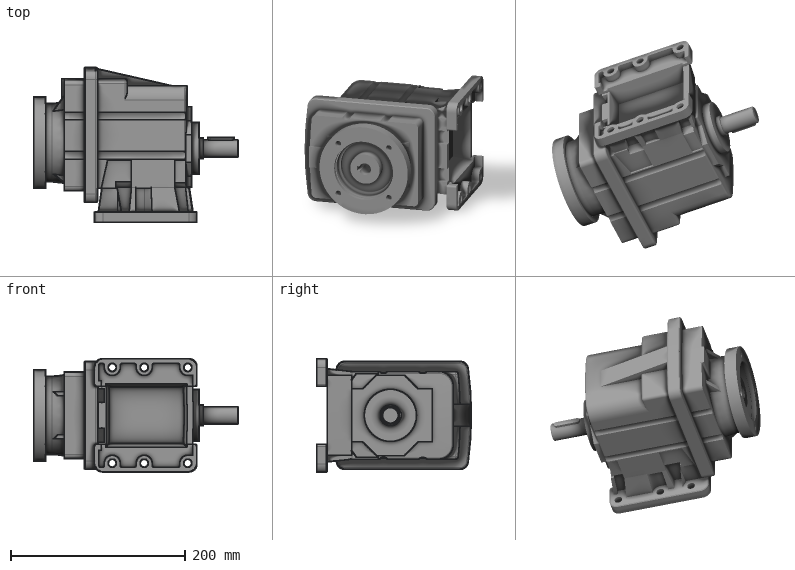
import cadquery as cq
import math

JOIN = 1.2

FLANGE_D, FLANGE_T = 105.0, 13.9
NECK_D, NECK_END = 90.0, 21.0
CONE_END_D = 93.0
PILOT_D, PILOT_DEPTH = 70.0, 5.2
BORE_D, BORE_DEPTH = 68.0, 14
WELL_D, WELL_DEPTH = 62.0, 18.8
HUB_D, HUB_FACE = 35.0, 5.9
INPUT_BORE_D, INPUT_BORE_END = 14, 30.5
INPUT_KEY_W, INPUT_KEY_TOP = 5.6, 9.6
BOLT_D, BOLT_OFFSET = 6.5, 30.0
RIB_Z, RIB_T, RIB_START = 24.7, 5.0, 21.6
RIB_FOOT_Y, RIB_TOP_Y, RIB_LOW_Y = 35.2, 54, 45.8

COVER_START, JOINT_START, JOINT_END = 35.0, 58.3, 73.3
COVER_HALF_Z, COVER_LOW, COVER_SIDE, COVER_CROWN = 49.8, -55.2, 71.0, 73.5
COVER_R = 5.2
JOINT_HALF_Z, JOINT_LOW, JOINT_SIDE, JOINT_CROWN = 62.0, -68.6, 81.5, 86.5
JOINT_R, JOINT_CHAMFER, JOINT_ROUND = 9.9, 1.0, 2.4
BOSS_START, BOSS_LOW, BOSS_HALF_Z = 32.2, 40, 12.5

HOUSING_END, HOUSING_HALF_Z, HOUSING_LOW = 174.4, 50.3, -52.5
END_BOW, END_ROUND = 2.4, 1.9
HOUSING_TOP, HOUSING_R = 65.5, 16.5
SHOULDER_END, SHOULDER_R = 107.6, 3.3
SPINE_TOP, SPINE_END = 84.8, 158.2
GROOVE_YS = (30.5, -14.5)
GROOVE_W, GROOVE_DEPTH = 9.0, 2.0
RECESS_DEPTH, RECESS_TOP, RAMP_DROP = 2.4, -20.5, 9.5
MID_RECESS_TOP_X, MID_RECESS_LOW_X, MID_RECESS_END = 84.8, 77.5, 112.3
MID_SLOPE_X, MID_SLOPE_Y = 94, -44.6
END_RECESS_X, END_SLOPE_Y = 162.0, -45.8

OUTPUT_Y = -6.5
PLATE_END, PLATE_HALF_Z = 181.5, 46.3
PLATE_FLAT, PLATE_STEP, PLATE_STEP_Z = 16.0, 32.0, 30.3
PLATE_TOP, PLATE_LOW = 41.4, -51.0
BEARING_D, BEARING_END = 60.0, 190.0
COLLAR_D, COLLAR_END = 24.0, 194.8
SHAFT_D, SHAFT_END, SHAFT_CHAMFER = 20.0, 235, 1.0
KEY_START, KEY_END, KEY_W, KEY_R, KEY_HEIGHT = 199.8, 230.0, 6.0, 2.8, 12.7

FOOT_START, FOOT_END, FOOT_HALF_Z = 69.8, 187.5, 65.0
FOOT_TOP, FOOT_BOTTOM = -79.2, -91.5
FOOT_INNER_Z = 33.1
FOOT_R, FOOT_INNER_R, FOOT_CHAMFER = 9.6, 2.4, 1.0
POCKET_FLOOR = -82.7
POCKET_START, POCKET_END, POCKET_Z = 74.7, 182.5, 59.7
LIP_END, LIP_Z = 77.5, 40
POCKET_R = 2.5
HOLE_XS, HOLE_Z, HOLE_D = (90.2, 127, 177.0), 55.0, 9.0
PAD_R = 9.2
WALL_BOW = 1.0
PEDESTAL_TOP = (78.3, 178.0, 50.3)
PEDESTAL_BOTTOM = (74.3, 182.1, 53.5)
CAVITY_FLOOR_Y = -59.2
CAVITY_FLOOR = (87, 171.8, 32.2)
CAVITY_MOUTH = (82.5, 176.0, 36.5)
SCREW_BAY_Z, BOLT_BAY_Z = 45.8, 41.0
SCREW_BAYS = ((FOOT_START, 96.4), (117.3, HOLE_XS[1]), (171.5, FOOT_END))
BOLT_BAYS = (
    (95.6, MID_RECESS_END, 100.8, 109.7),
    (END_RECESS_X, HOUSING_END, 167.3, 177.5),
)
NOTCH_DEPTH_X, NOTCH_Z0, NOTCH_Z1 = 81.0, 14.8, 30.8


def disc(diameter, start, end, y=0):
    """Cylinder along X."""
    return cq.Workplane("YZ", origin=(start, y, 0)).circle(diameter / 2).extrude(end - start)


def block(x0, x1, y0, y1, z0, z1):
    return cq.Workplane("XY").box(x1 - x0, y1 - y0, z1 - z0, centered=False).translate((x0, y0, z0))


def both_sides(solid):
    """The solid together with its mirror image across the XY plane."""
    return solid.union(solid.mirror("XY"))


def crowned_plate(start, end, half_z, low, side, crown, corner_r):
    """Rounded rectangle along X whose +Y side bows outward."""
    return (
        cq.Workplane("YZ", origin=(start, 0, 0))
        .moveTo(side, -half_z)
        .threePointArc((crown, 0), (side, half_z))
        .lineTo(low, half_z)
        .lineTo(low, -half_z)
        .close()
        .extrude(end - start)
        .edges("|X")
        .fillet(corner_r)
    )


def tapered_block(y0, rect0, y1, rect1):
    """Loft along Y between two (x start, x end, half width) rectangles with a bowed +X side."""
    def wire(y, rect):
        x0, x1, half_z = rect
        return (
            cq.Workplane("XZ", origin=(0, y, 0))
            .moveTo(x1, half_z)
            .lineTo(x0, half_z)
            .lineTo(x0, -half_z)
            .lineTo(x1, -half_z)
            .threePointArc((x1 + WALL_BOW, 0), (x1, half_z))
            .close()
            .val()
        )
    return cq.Workplane(obj=cq.Solid.makeLoft([wire(y0, rect0), wire(y1, rect1)], True))


def neck():
    flange = disc(FLANGE_D, 0, FLANGE_T).union(disc(NECK_D, 0, NECK_END))
    cone = (
        cq.Workplane("XY")
        .moveTo(NECK_END, 0)
        .lineTo(NECK_END, NECK_D / 2)
        .lineTo(COVER_START, CONE_END_D / 2)
        .lineTo(COVER_START, 0)
        .close()
        .revolve(360, (0, 0, 0), (1, 0, 0))
    )
    ribs = None
    for outer_y in (RIB_TOP_Y, -RIB_LOW_Y):
        foot_y = math.copysign(RIB_FOOT_Y, outer_y)
        rib = (
            cq.Workplane("XY", origin=(0, 0, RIB_Z - RIB_T / 2))
            .polyline([(RIB_START, foot_y), (COVER_START, outer_y), (COVER_START, foot_y)])
            .close()
            .extrude(RIB_T)
        )
        ribs = rib if ribs is None else ribs.union(rib)
    boss = block(BOSS_START, COVER_START + JOIN, BOSS_LOW, COVER_CROWN, -BOSS_HALF_Z, BOSS_HALF_Z)
    return flange.union(cone).union(both_sides(ribs)).union(boss)


def cut_motor_socket(body):
    body = body.cut(disc(PILOT_D, 0, PILOT_DEPTH))
    body = body.cut(disc(BORE_D, 0, BORE_DEPTH))
    body = body.cut(disc(WELL_D, 0, WELL_DEPTH))
    body = body.union(disc(HUB_D, HUB_FACE, WELL_DEPTH + JOIN))
    body = body.cut(disc(INPUT_BORE_D, 0, INPUT_BORE_END))
    body = body.cut(block(0, INPUT_BORE_END, 0, INPUT_KEY_TOP, -INPUT_KEY_W / 2, INPUT_KEY_W / 2))
    for y in (-BOLT_OFFSET, BOLT_OFFSET):
        body = body.cut(both_sides(disc(BOLT_D, 0, FLANGE_T, y).translate((0, 0, BOLT_OFFSET))))
    return body


def cover_and_joint():
    cover = crowned_plate(
        COVER_START, JOINT_START + JOIN, COVER_HALF_Z, COVER_LOW, COVER_SIDE, COVER_CROWN, COVER_R
    )
    joint = crowned_plate(
        JOINT_START, JOINT_END, JOINT_HALF_Z, JOINT_LOW, JOINT_SIDE, JOINT_CROWN, JOINT_R
    )
    joint = joint.faces("<X").chamfer(JOINT_CHAMFER)
    joint = joint.faces(">X").edges().fillet(JOINT_ROUND)
    return cover, joint


def housing():
    start = JOINT_END - JOIN
    main = (
        cq.Workplane("XZ", origin=(0, HOUSING_TOP, 0))
        .moveTo(start, -HOUSING_HALF_Z)
        .lineTo(HOUSING_END, -HOUSING_HALF_Z)
        .threePointArc((HOUSING_END + END_BOW, 0), (HOUSING_END, HOUSING_HALF_Z))
        .lineTo(start, HOUSING_HALF_Z)
        .close()
        .extrude(HOUSING_TOP - HOUSING_LOW)
        .edges("|X and >Y")
        .fillet(HOUSING_R)
    )
    main = main.faces(">X").edges("not <Y").fillet(END_ROUND)
    shoulder = crowned_plate(
        start, SHOULDER_END, HOUSING_HALF_Z, 0, COVER_SIDE, COVER_CROWN, SHOULDER_R
    )
    shoulder = shoulder.faces(">X").edges(">Y").fillet(SHOULDER_R)
    spine = (
        cq.Workplane("XY", origin=(0, 0, -BOSS_HALF_Z))
        .polyline([
            (start, 0),
            (start, SPINE_TOP),
            (JOINT_END, SPINE_TOP),
            (SPINE_END, HOUSING_TOP),
            (SPINE_END, 0),
        ])
        .close()
        .extrude(2 * BOSS_HALF_Z)
    )
    return main.union(shoulder).union(spine)


def cooling_grooves(start, end, face_z):
    """Shallow round-bottomed grooves along X in the +Z and -Z faces."""
    radius = ((GROOVE_W / 2) ** 2 + GROOVE_DEPTH**2) / (2 * GROOVE_DEPTH)
    centre_z = face_z - GROOVE_DEPTH + radius
    grooves = disc(2 * radius, start, end, GROOVE_YS[0])
    grooves = grooves.union(disc(2 * radius, start, end, GROOVE_YS[1]))
    return both_sides(grooves.translate((0, 0, centre_z)))


def side_recess(top_x, low_x, end_x, slope_x, slope_y):
    """Shallow recess in the +Z and -Z faces, with a ramp from slope_y down to the pedestal."""
    floor_z = HOUSING_HALF_Z - RECESS_DEPTH
    outline = [(top_x, RECESS_TOP), (end_x, RECESS_TOP), (end_x, HOUSING_LOW), (low_x, HOUSING_LOW)]
    shallow = cq.Workplane("XY", origin=(0, 0, floor_z)).polyline(outline).close().extrude(RECESS_DEPTH)
    ramp = (
        cq.Workplane("YZ", origin=(slope_x, 0, 0))
        .polyline([
            (slope_y, floor_z),
            (slope_y, HOUSING_HALF_Z),
            (HOUSING_LOW, HOUSING_HALF_Z),
            (HOUSING_LOW, floor_z - RAMP_DROP),
        ])
        .close()
        .extrude(end_x - slope_x)
    )
    return both_sides(shallow.union(ramp))


def output_side():
    upper = [
        (PLATE_LOW, PLATE_STEP_Z),
        (OUTPUT_Y - PLATE_STEP, PLATE_STEP_Z),
        (OUTPUT_Y - PLATE_FLAT, PLATE_HALF_Z),
        (OUTPUT_Y + PLATE_FLAT, PLATE_HALF_Z),
        (OUTPUT_Y + PLATE_STEP, PLATE_STEP_Z),
        (PLATE_TOP, PLATE_STEP_Z),
    ]
    lower = [(y, -z) for y, z in reversed(upper)]
    plate = (
        cq.Workplane("YZ", origin=(HOUSING_END - JOIN, 0, 0))
        .polyline(upper + lower)
        .close()
        .extrude(PLATE_END - HOUSING_END + JOIN)
    )
    shaft = disc(SHAFT_D, HOUSING_END, SHAFT_END, OUTPUT_Y).faces(">X").chamfer(SHAFT_CHAMFER)
    key = block(KEY_START, KEY_END, OUTPUT_Y, OUTPUT_Y + KEY_HEIGHT, -KEY_W / 2, KEY_W / 2)
    key = key.edges("|Y").fillet(KEY_R)
    bearing = disc(BEARING_D, HOUSING_END, BEARING_END, OUTPUT_Y)
    collar = disc(COLLAR_D, HOUSING_END, COLLAR_END, OUTPUT_Y)
    return plate.union(bearing).union(collar).union(shaft).union(key)


def bolt_column(diameter, x, y0, y1):
    """Cylinder along Y at a foot hole."""
    return (
        cq.Workplane("XZ", origin=(x, y1, HOLE_Z)).circle(diameter / 2).extrude(y1 - y0)
    )


def pedestal():
    root = HOUSING_LOW + JOIN
    tower = tapered_block(root, PEDESTAL_TOP, FOOT_TOP, PEDESTAL_BOTTOM)
    for x in HOLE_XS:
        tower = tower.cut(both_sides(bolt_column(2 * PAD_R, x, FOOT_TOP, root)))
    for x0, x1 in SCREW_BAYS:
        tower = tower.cut(both_sides(block(x0, x1, FOOT_TOP, root, SCREW_BAY_Z, FOOT_HALF_Z)))
    for top_x0, top_x1, bottom_x0, bottom_x1 in BOLT_BAYS:
        bay = (
            cq.Workplane("XY", origin=(0, 0, BOLT_BAY_Z))
            .polyline([
                (top_x0, root),
                (top_x1, root),
                (bottom_x1, FOOT_TOP),
                (bottom_x0, FOOT_TOP),
            ])
            .close()
            .extrude(FOOT_HALF_Z - BOLT_BAY_Z)
        )
        tower = tower.cut(both_sides(bay))
    notch = block(FOOT_START, NOTCH_DEPTH_X, FOOT_TOP, root, NOTCH_Z0, NOTCH_Z1)
    return tower.cut(both_sides(notch))


def foot():
    """The foot on the +Z side, open toward the middle."""
    slab = block(FOOT_START, FOOT_END, FOOT_BOTTOM, FOOT_TOP, FOOT_INNER_Z, FOOT_HALF_Z)
    slab = slab.edges("|Y and >Z").fillet(FOOT_R).edges("|Y and <Z").fillet(FOOT_INNER_R)
    slab = slab.faces(">Y").chamfer(FOOT_CHAMFER)
    pocket = block(POCKET_START, POCKET_END, FOOT_BOTTOM, POCKET_FLOOR, FOOT_INNER_Z, POCKET_Z)
    pocket = pocket.cut(block(POCKET_START, LIP_END, FOOT_BOTTOM, POCKET_FLOOR, FOOT_INNER_Z, LIP_Z))
    for x in HOLE_XS:
        pad = bolt_column(2 * PAD_R, x, FOOT_BOTTOM, POCKET_FLOOR)
        pad = pad.union(block(x - PAD_R, x + PAD_R, FOOT_BOTTOM, POCKET_FLOOR, HOLE_Z, POCKET_Z))
        pocket = pocket.cut(pad)
    corner = block(HOLE_XS[-1], POCKET_END, FOOT_BOTTOM, POCKET_FLOOR, HOLE_Z - PAD_R, POCKET_Z)
    pocket = pocket.cut(corner)
    pocket = pocket.edges("|Y and >Z").fillet(POCKET_R)
    slab = slab.cut(pocket)
    for x in HOLE_XS:
        slab = slab.cut(bolt_column(HOLE_D, x, FOOT_BOTTOM, FOOT_TOP))
    return slab


cover, joint = cover_and_joint()
cover = cover.cut(cooling_grooves(COVER_START, JOINT_START, COVER_HALF_Z))
case = housing().cut(cooling_grooves(JOINT_END, HOUSING_END, HOUSING_HALF_Z))
case = case.cut(side_recess(MID_RECESS_TOP_X, MID_RECESS_LOW_X, MID_RECESS_END, MID_SLOPE_X, MID_SLOPE_Y))
case = case.cut(
    side_recess(END_RECESS_X, END_RECESS_X, HOUSING_END + END_BOW, END_RECESS_X, END_SLOPE_Y)
)

result = cut_motor_socket(neck().union(cover)).union(joint).union(case).union(output_side())
result = result.union(pedestal()).union(both_sides(foot()))
result = result.cut(tapered_block(CAVITY_FLOOR_Y, CAVITY_FLOOR, POCKET_FLOOR, CAVITY_MOUTH))